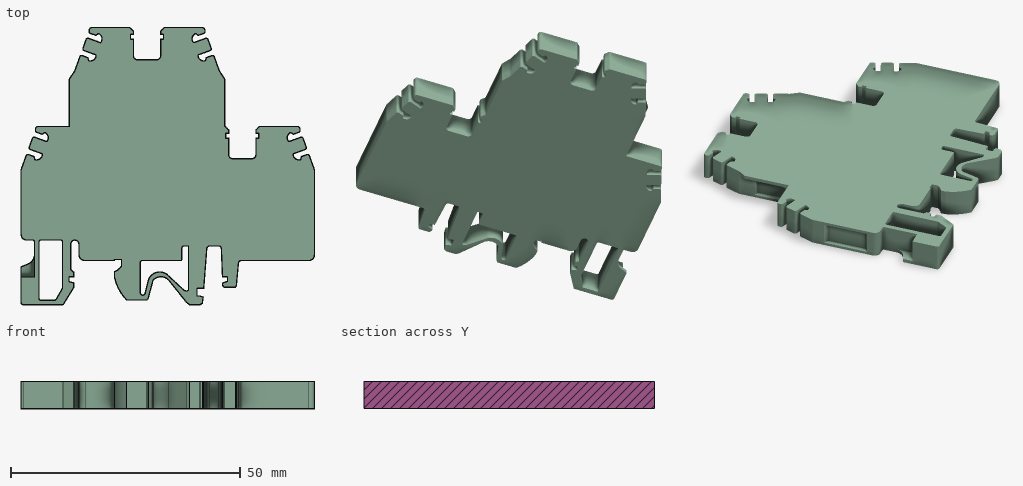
import cadquery as cq
import math


width = 64.0
height = 60.5
thickness = 6.0

base_y = 9.6
small_round = 0.3
bottom_round = 1.3
step_round = 1.4
foot_root_y = 14.1
lower_top_y = 38.9
upper_left_x = 10.5
upper_right_x = 44.5
upper_center_x = (upper_left_x + upper_right_x) / 2
overlap = 0.3

lip_drop = 0.8
lip_round = 0.7
shoulder_run = 3.15
shoulder_drop = 9.5
tilt = math.degrees(math.atan2(shoulder_run, shoulder_drop - lip_drop))
lower_tip_x = shoulder_run
upper_shoulder_x = 11.7
upper_tip_x = upper_shoulder_x + shoulder_run
upper_wall_top_y = 49.15

tooth_drop = 3.6
tooth_half = 1.44
slot_far = 2.55
slot_depth = 3.2
hook_far = 3.15
hook_start = 1.7
hook_peak = 2.1
mouth_round = 0.45

well_width = 5.9
well_depth = 7.05
well_round = 0.8
well_chamfer = 0.8
groove_top = 1.55
groove_height = 1.0
groove_depth = 0.65

foot_left_x = 2.95
foot_right_x = 10.9
foot_nose_x = 11.5
body_step_x = 12.6
foot_root_round = 0.3
foot_corner_round = 0.5
thin_lip_z = 0.8
thin_lip_y = 6.1

leg_gap_top = 12.8
leg_gap_round = 0.6
leg_root_round = 0.5
jaw_neck_x = 21.9
jaw_tip_x = 20.35
jaw_relief_height = 0.25
clip_bottom_y = 1.0
latch_corner = (39.9, 3.6)
leg_corner = (43.9, 6.1)
leg_root_x = 43.65
leg_right_x = 47.5
latch_root_x = 40.6
clip_left_x = 26.05
clip_right_x = 36.5
notch_round = 0.5
clip_notch_x = 35.1

upper_recess_z = 5.25
upper_recess_y = height - shoulder_drop
pocket_depth = 0.95
pocket_floor_z = 0.65
recess_round = 1.55


def plate(points):
    """Full-thickness plate with straight sides."""
    return cq.Workplane("XY").polyline(points).close().extrude(thickness)


def round_corners(solid, radius, corners):
    """Round the upright edges that stand on the given corners."""
    reach = 0.03
    for x, y in corners:
        box = cq.selectors.BoxSelector(
            (x - reach, y - reach, -reach), (x + reach, y + reach, thickness + reach)
        )
        solid = solid.edges("|Z").edges(box).fillet(radius)
    return solid


def tier(tip_x, center_x, top_y, wall_x, wall_top_y, bottom_y):
    """One symmetric tier with rounded lips and sloping shoulders."""
    tip_y = top_y - lip_drop
    slope_x = tip_x - shoulder_run
    slope_y = top_y - shoulder_drop
    bulge = 0.2
    half = (
        cq.Workplane("XY")
        .moveTo(center_x, bottom_y)
        .lineTo(wall_x, bottom_y)
        .lineTo(wall_x, wall_top_y)
        .lineTo(slope_x, slope_y)
        .lineTo(tip_x, tip_y)
        .threePointArc((tip_x + bulge, top_y - bulge), (tip_x + lip_round, top_y))
        .lineTo(center_x, top_y)
        .close()
        .extrude(thickness)
    )
    return half.union(half.mirror("YZ", (center_x, 0, 0)))


def marker_slots(tip_x, center_x, top_y):
    """Cutters for the two hooked slots at both corners of a tier."""
    outside = -1.3
    bend = mouth_round * (1 - math.sqrt(0.5))
    slot = (
        cq.Workplane("XY")
        .moveTo(outside, tooth_half - mouth_round)
        .lineTo(0, tooth_half - mouth_round)
        .threePointArc((bend, tooth_half - bend), (mouth_round, tooth_half))
        .lineTo(slot_depth, tooth_half)
        .threePointArc((slot_depth, slot_far - 0.2), (hook_peak, hook_far))
        .lineTo(hook_start, slot_far)
        .lineTo(mouth_round, slot_far)
        .threePointArc((bend, slot_far + bend), (0, slot_far + mouth_round))
        .lineTo(outside, slot_far + mouth_round)
        .close()
        .extrude(thickness)
    )
    pair = slot.union(slot.mirror("XZ"))
    tooth_x = tip_x - (tooth_drop - lip_drop) * math.tan(math.radians(tilt))
    left = pair.rotate((0, 0, 0), (0, 0, 1), -tilt).translate((tooth_x, top_y - tooth_drop, 0))
    return left.union(left.mirror("YZ", (center_x, 0, 0)))


def well(center_x, top_y):
    """Cutter for a screwdriver well with chamfered mouth and grooved walls."""
    half = well_width / 2
    mouth = half + well_chamfer
    shaft = (
        cq.Workplane("XY")
        .rect(well_width, well_depth)
        .extrude(thickness)
        .edges("|Z and <Y")
        .fillet(well_round)
        .translate((0, -well_depth / 2, 0))
    )
    flare = plate([(-mouth, 0), (mouth, 0), (half, -well_chamfer), (-half, -well_chamfer)])
    groove = (
        cq.Workplane("XY")
        .center(0, -groove_top - groove_height / 2)
        .rect(well_width + 2 * groove_depth, groove_height)
        .extrude(thickness)
    )
    return shaft.union(flare).union(groove).translate((center_x, top_y, 0))


def housing():
    """Both tiers with their marker slots and wells."""
    lower = tier(lower_tip_x, width / 2, lower_top_y, 0, foot_root_y, base_y)
    upper = tier(
        upper_tip_x, upper_center_x, height, upper_left_x, upper_wall_top_y, lower_top_y - overlap
    )
    step = plate(
        [(0, base_y), (body_step_x, base_y), (body_step_x, foot_root_y), (0, foot_root_y)]
    )
    body = lower.union(upper).cut(step)
    body = round_corners(body, bottom_round, [(0, foot_root_y), (width, base_y)])
    body = round_corners(body, step_round, [(body_step_x, base_y)])
    body = body.cut(marker_slots(lower_tip_x, width / 2, lower_top_y))
    body = body.cut(marker_slots(upper_tip_x, upper_center_x, height))
    body = body.cut(well(upper_center_x, height))
    return body.cut(well(upper_right_x + well_chamfer + well_width / 2, lower_top_y))


def left_foot():
    """Fixed foot with a rail notch and a thin lip on its outer side."""
    lip_root_y = 10.95
    lip_bend = (1.8, 9.0)
    foot_toe_x = 9.2
    notch_x = 10.5
    foot = plate(
        [
            (foot_left_x, foot_root_y + overlap),
            (foot_left_x, lip_root_y),
            lip_bend,
            (0, 8.25),
            (0, 0),
            (foot_toe_x, 0),
            (foot_nose_x, 3.8),
            (foot_nose_x, 4.8),
            (notch_x, 5.05),
            (notch_x, 6.1),
            (foot_nose_x, 6.1),
            (foot_nose_x, 7.1),
            (foot_right_x, 7.6),
            (foot_right_x, foot_root_y + overlap),
        ]
    )
    lip_root = (
        cq.Workplane("XY")
        .moveTo(foot_left_x, lip_root_y)
        .threePointArc((2.6, 9.85), lip_bend)
        .close()
        .extrude(thickness)
    )
    foot = foot.cut(lip_root)
    foot = round_corners(foot, foot_corner_round, [(0, 0)])
    foot = round_corners(foot, small_round, [(foot_toe_x, 0), (foot_nose_x, 3.8)])
    above_lip = (
        cq.Workplane("XY", origin=(0, thin_lip_y, thin_lip_z))
        .rect(foot_left_x, foot_root_y - thin_lip_y, centered=False)
        .extrude(thickness)
    )
    return foot.cut(above_lip)


def foot_window():
    """Cutter for the window in the left foot, parallel to the foot's outline."""
    left, right = 4.0, 9.0
    floor = 1.0
    bevel_x, bevel_y = 7.55, 3.6
    top = foot_root_y
    window = plate([(left, floor), (bevel_x, floor), (right, bevel_y), (right, top), (left, top)])
    return window.edges("|Z").fillet(small_round)


def foot_gap_crown():
    """Filler that gives the gap behind the foot a semicircular end."""
    radius = (body_step_x - foot_right_x) / 2
    center_y = foot_root_y - radius
    center_x = foot_right_x + radius
    filler = (
        cq.Workplane("XY", origin=(foot_right_x, center_y, 0))
        .rect(2 * radius, radius, centered=False)
        .extrude(thickness)
    )
    return filler.cut(cq.Workplane("XY").center(center_x, center_y).circle(radius).extrude(thickness))


def spring_clip():
    """Jaw, curved spring strip and latch leg that grip the rail."""
    return (
        cq.Workplane("XY")
        .moveTo(jaw_neck_x, leg_gap_top)
        .lineTo(jaw_neck_x, 8.4)
        .lineTo(21.1, 7.6)
        .lineTo(jaw_tip_x, 7.2)
        .lineTo(jaw_tip_x, 6.1)
        .threePointArc((21.2, 3.65), (23.05, clip_bottom_y))
        .lineTo(27.45, clip_bottom_y)
        .lineTo(27.8, 1.5)
        .lineTo(28.8, 5.3)
        .threePointArc((30.4, 6.1), (32.1, 5.45))
        .lineTo(36.1, 0.5)
        .lineTo(36.75, 0)
        .lineTo(39.05, 0)
        .lineTo(39.55, 0.3)
        .lineTo(39.75, 1.65)
        .lineTo(39.05, 1.9)
        .lineTo(38.4, 1.9)
        .lineTo(38.4, 3.6)
        .lineTo(*latch_corner)
        .lineTo(latch_root_x, leg_gap_top)
        .close()
        .extrude(thickness)
    )


def jaw_relief():
    """Cutter for the small undercut where the jaw meets the housing."""
    return (
        cq.Workplane("XY", origin=(jaw_tip_x, base_y, 0))
        .rect(jaw_neck_x - jaw_tip_x, jaw_relief_height, centered=False)
        .extrude(thickness)
    )


def clip_opening():
    """Cutter that frees the spring strip from the housing above it."""
    opening = (
        cq.Workplane("XY")
        .moveTo(clip_left_x, base_y)
        .lineTo(clip_left_x, 2.5)
        .threePointArc((26.5, 2.1), (27.1, 2.6))
        .lineTo(27.8, 5.45)
        .threePointArc((30.3, 7.2), (31.8, 6.65))
        .lineTo(35.6, 3.15)
        .lineTo(36.15, 3.0)
        .lineTo(clip_right_x, 3.2)
        .lineTo(clip_right_x, leg_gap_top)
        .lineTo(clip_notch_x, leg_gap_top)
        .lineTo(clip_notch_x, base_y)
        .close()
        .extrude(thickness)
    )
    opening = round_corners(opening, small_round, [(clip_left_x, base_y), (clip_notch_x, base_y)])
    return round_corners(opening, notch_round, [(clip_notch_x, leg_gap_top)])


def leg_gap():
    """Cutter for the tapered gap between the latch leg and the right leg."""
    top = [(latch_root_x, leg_gap_top), (leg_root_x, leg_gap_top)]
    return round_corners(plate([latch_corner] + top + [leg_corner]), leg_gap_round, top)


def right_leg():
    """Tapered leg with a hook for the rail's edge."""
    return plate(
        [
            (leg_root_x, leg_gap_top),
            leg_corner,
            (45.0, 6.1),
            (45.0, 5.1),
            (43.9, 4.75),
            (43.9, 4.3),
            (44.3, 3.8),
            (46.7, 3.8),
            (47.0, 4.1),
            (leg_right_x, base_y),
            (leg_right_x, leg_gap_top),
        ]
    )


def side_pocket(wall_x, bottom_y, top_y, top_z, slopes):
    """Cutter for a shallow pocket in a wall facing -X, its end walls sloping inwards."""
    bottom_slope, top_slope = slopes
    return (
        cq.Workplane("XY", origin=(0, 0, pocket_floor_z))
        .polyline(
            [
                (wall_x, bottom_y),
                (wall_x, top_y),
                (wall_x + pocket_depth, top_y - top_slope),
                (wall_x + pocket_depth, bottom_y + bottom_slope),
            ]
        )
        .close()
        .extrude(top_z - pocket_floor_z)
    )


def upper_pocket():
    """Cutter for the pocket inside the upper recess, open towards the lower tier."""
    top_y = 47.2
    top_slope = 0.25
    return side_pocket(upper_shoulder_x, lower_top_y, top_y, upper_recess_z, (0, top_slope))


def lower_pocket():
    """Cutter for the pocket in the left wall of the lower tier."""
    bottom_y, top_y = 16.7, 26.75
    top_z = 5.4
    end_slope = 0.65
    return side_pocket(0, bottom_y, top_y, top_z, (end_slope, end_slope))


def upper_recess():
    """Cutter that sets the upper tier's left wall back below a thin top flange."""
    depth = upper_shoulder_x - upper_left_x
    return (
        cq.Workplane("XY", origin=(upper_left_x, lower_top_y, 0))
        .rect(depth, upper_recess_y - lower_top_y, centered=False)
        .extrude(upper_recess_z)
        .edges("|X and >Z and <Y")
        .fillet(recess_round)
    )


result = housing().cut(leg_gap()).union(left_foot()).union(spring_clip()).union(right_leg())
result = result.union(foot_gap_crown())
result = round_corners(result, foot_root_round, [(foot_left_x, foot_root_y)])
result = round_corners(result, leg_root_round, [(leg_right_x, base_y)])

result = result.cut(foot_window()).cut(clip_opening()).cut(jaw_relief())

result = result.cut(upper_recess()).cut(upper_pocket()).cut(lower_pocket())